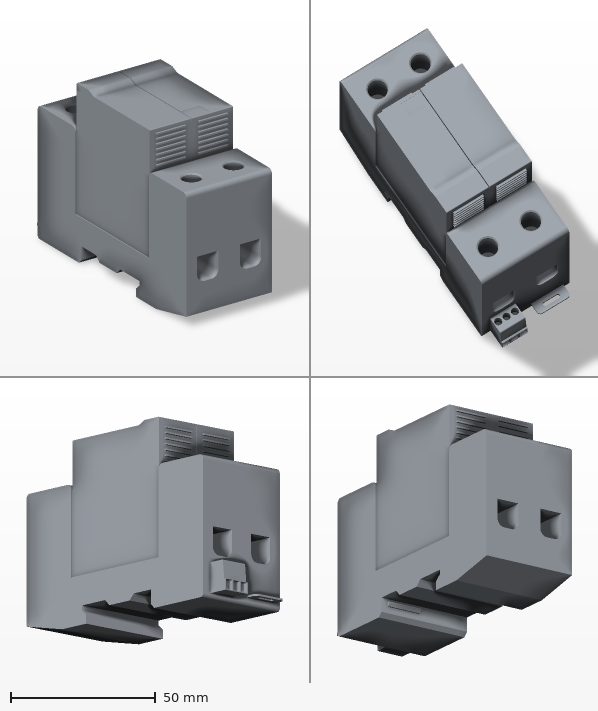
import cadquery as cq

HOUSING_LENGTH = 90.2
HOUSING_WIDTH = 36.0
HOUSING_HEIGHT = 50.6
TOP_RADIUS = 1.8
FOOT_RADIUS = 1.2
POLE_OFFSET = 8.85
POLE_SIDES = (-1, 1)

RAIL_LEFT = 26.6
RAIL_RIGHT = 61.9
RAIL_ROOF = 6.8
FOOT_CHAMFER = 1.6
RIB_LEFT = 35.4
RIB_RIGHT = 50.0
RIB_SLOPE = 2.1
RIB_BOTTOM = 4.65
HOOK_TIP = 59.7
HOOK_TIP_TOP = 3.3
HOOK_ROOT = 5.2
RAMP_START = 71.9
RAMP_END_HEIGHT = 3.9

SLOT_LEFT = 22.7
SLOT_RIGHT = 67.5
SLOT_FLOOR = 17.6
MODULE_CLEARANCE = 0.3
MODULE_LEFT = SLOT_LEFT + MODULE_CLEARANCE
MODULE_RIGHT = SLOT_RIGHT - MODULE_CLEARANCE
MODULE_WIDTH = 17.4
MODULE_TOP = 67.4
MODULE_LOW_TOP = 66.0
STEP_START = 30.4
STEP_END = 33.35
STEP_RADIUS = 1.3
MODULE_EDGE_RADIUS = 0.3

WINDOW_LEFT = 60.55
WINDOW_LENGTH = 5.5
WINDOW_WIDTH = 8.2
WINDOW_DEPTH = 0.1

LOUVRE_COUNT = 7
LOUVRE_PITCH = 2.0
LOUVRE_LOWEST = 52.1
LOUVRE_THICKNESS = 0.6
LOUVRE_LENGTH = 12.2
LOUVRE_PROJECTION = 0.9

SCREW_INSET = 10.15
SCREW_DIAMETER = 7.0
SCREW_DEPTH = 14.0
SCREW_RIM_CHAMFER = 0.5
WIRE_OFFSET = 9.0
WIRE_WIDTH = 8.9
WIRE_BOTTOM = 15.6
WIRE_TOP = 25.55
WIRE_RADIUS = 2.9
WIRE_DEPTH = 15.0

CONNECTOR_REACH = 7.75
CONNECTOR_STEP = 7.0
CONNECTOR_TOP_REACH = 6.35
CONNECTOR_BOTTOM = 1.7
CONNECTOR_LIP = 5.8
CONNECTOR_TOP = 12.65
CONNECTOR_EDGE_RADIUS = 0.4
CONNECTOR_WIDTH = 10.4
CONNECTOR_Y = 9.4
CONTACT_COUNT = 3
CONTACT_PITCH = 3.45
CONTACT_HOLE_X = -2.45
CONTACT_HOLE_DIAMETER = 2.8
CONTACT_HOLE_DEPTH = 4.0
CONTACT_WINDOW_WIDTH = 2.95
CONTACT_WINDOW_BOTTOM = 2.0
CONTACT_WINDOW_TOP = 5.6
CONTACT_WINDOW_DEPTH = 1.7

LATCH_Y = -8.9
LATCH_WIDTH = 13.3
TAB_REACH = 5.0
TAB_BOTTOM = 2.6
TAB_THICKNESS = 0.7
TAB_RADIUS = 1.5
TAB_SLOT_X = -2.7
TAB_SLOT_LENGTH = 6.8
TAB_SLOT_WIDTH = 1.6
TAB_SLOT_RADIUS = 0.7
PAWL_TOP = 5.6
PAWL_BOTTOM = 4.0
PAWL_TIP_HEIGHT = 5.2
PAWL_REACH = 1.45
PAWL_FLAT = 1.1
PAWL_FOOT = 0.6

OVERLAP = 1.0


def box(x_min, x_max, y_min, y_max, z_min, z_max):
    """Axis-aligned box given by its limits."""
    size = (x_max - x_min, y_max - y_min, z_max - z_min)
    return cq.Workplane("XY").box(*size, centered=False).translate((x_min, y_min, z_min))


def extrude_profile(points, width, y_center):
    """Close an XZ outline and extrude it along Y, centred on y_center."""
    plane = cq.Workplane("XZ", origin=(0, y_center, 0))
    return plane.polyline(points).close().extrude(width / 2, both=True)


def make_housing():
    outline = [
        (0, 0),
        (RAIL_LEFT - FOOT_CHAMFER, 0),
        (RAIL_LEFT, FOOT_CHAMFER),
        (RAIL_LEFT, RAIL_ROOF),
        (RIB_LEFT, RAIL_ROOF),
        (RIB_LEFT + RIB_SLOPE, RIB_BOTTOM),
        (RIB_RIGHT - RIB_SLOPE, RIB_BOTTOM),
        (RIB_RIGHT, RAIL_ROOF),
        (RAIL_RIGHT, RAIL_ROOF),
        (RAIL_RIGHT, HOOK_ROOT),
        (HOOK_TIP, HOOK_TIP_TOP),
        (HOOK_TIP, 0),
        (RAMP_START, 0),
        (HOUSING_LENGTH, RAMP_END_HEIGHT),
        (HOUSING_LENGTH, HOUSING_HEIGHT),
        (SLOT_RIGHT, HOUSING_HEIGHT),
        (SLOT_RIGHT, SLOT_FLOOR),
        (SLOT_LEFT, SLOT_FLOOR),
        (SLOT_LEFT, HOUSING_HEIGHT),
        (0, HOUSING_HEIGHT),
    ]
    housing = extrude_profile(outline, HOUSING_WIDTH, 0)
    housing = housing.faces(">Z").edges("|Y").fillet(TOP_RADIUS)
    return housing.faces("<X").edges("|Y and <Z").fillet(FOOT_RADIUS)


def make_module(side):
    outline = [
        (MODULE_LEFT, SLOT_FLOOR),
        (MODULE_RIGHT, SLOT_FLOOR),
        (MODULE_RIGHT, MODULE_LOW_TOP),
        (STEP_END, MODULE_LOW_TOP),
        (STEP_START, MODULE_TOP),
        (MODULE_LEFT, MODULE_TOP),
    ]
    module = extrude_profile(outline, MODULE_WIDTH, side * POLE_OFFSET)
    for x, z in ((STEP_START, MODULE_TOP), (STEP_END, MODULE_LOW_TOP)):
        corner = cq.selectors.NearestToPointSelector((x, side * POLE_OFFSET, z))
        module = module.edges(corner).fillet(STEP_RADIUS)
    for end, x, z in (("<X", MODULE_LEFT, MODULE_TOP), (">X", MODULE_RIGHT, MODULE_LOW_TOP)):
        top_edge = cq.selectors.NearestToPointSelector((x, side * POLE_OFFSET, z))
        module = module.faces(end).edges(top_edge).fillet(MODULE_EDGE_RADIUS)
    return module


def make_louvres(side):
    """Flat ribs that stand out from both ends of one module."""
    y_min = side * POLE_OFFSET - LOUVRE_LENGTH / 2
    y_max = y_min + LOUVRE_LENGTH
    x_min = MODULE_LEFT - LOUVRE_PROJECTION
    x_max = MODULE_RIGHT + LOUVRE_PROJECTION
    z_min = LOUVRE_LOWEST - LOUVRE_THICKNESS / 2
    bar = box(x_min, x_max, y_min, y_max, z_min, z_min + LOUVRE_THICKNESS)
    return [bar.translate((0, 0, row * LOUVRE_PITCH)) for row in range(LOUVRE_COUNT)]


def make_slot_lining():
    """Fill the clearance around the modules up to the start of the housing's top rounding."""
    half = POLE_OFFSET + MODULE_WIDTH / 2
    return box(SLOT_LEFT, SLOT_RIGHT, -half, half, SLOT_FLOOR, HOUSING_HEIGHT - TOP_RADIUS)


def make_window_recess():
    y_min = POLE_OFFSET - MODULE_WIDTH / 2
    x_max = WINDOW_LEFT + WINDOW_LENGTH
    z_min = MODULE_LOW_TOP - WINDOW_DEPTH
    return box(WINDOW_LEFT, x_max, y_min, y_min + WINDOW_WIDTH, z_min, MODULE_LOW_TOP)


def make_screw_hole(x, y):
    top = cq.Workplane("XY", origin=(x, y, HOUSING_HEIGHT))
    shaft = top.circle(SCREW_DIAMETER / 2).extrude(-SCREW_DEPTH)
    rim = top.circle(SCREW_DIAMETER / 2 + SCREW_RIM_CHAMFER).extrude(-SCREW_RIM_CHAMFER, taper=45)
    return shaft.union(rim)


def make_wire_entry(x_min, y):
    half = WIRE_WIDTH / 2
    entry = box(x_min, x_min + WIRE_DEPTH, y - half, y + half, WIRE_BOTTOM, WIRE_TOP)
    return entry.faces("<Z").edges("|X").fillet(WIRE_RADIUS)


def make_connector():
    outline = [
        (OVERLAP, CONNECTOR_BOTTOM),
        (-CONNECTOR_REACH, CONNECTOR_BOTTOM),
        (-CONNECTOR_REACH, CONNECTOR_LIP),
        (-CONNECTOR_STEP, CONNECTOR_LIP),
        (-CONNECTOR_TOP_REACH, CONNECTOR_TOP),
        (OVERLAP, CONNECTOR_TOP),
    ]
    connector = extrude_profile(outline, CONNECTOR_WIDTH, CONNECTOR_Y)
    top_edge = cq.selectors.NearestToPointSelector((-CONNECTOR_TOP_REACH, CONNECTOR_Y, CONNECTOR_TOP))
    connector = connector.edges(top_edge).fillet(CONNECTOR_EDGE_RADIUS)
    for index in range(CONTACT_COUNT):
        y = CONNECTOR_Y + (index - (CONTACT_COUNT - 1) / 2) * CONTACT_PITCH
        top = cq.Workplane("XY", origin=(CONTACT_HOLE_X, y, CONNECTOR_TOP))
        connector = connector.cut(top.circle(CONTACT_HOLE_DIAMETER / 2).extrude(-CONTACT_HOLE_DEPTH))
        half = CONTACT_WINDOW_WIDTH / 2
        x_max = -CONNECTOR_REACH + CONTACT_WINDOW_DEPTH
        window = box(-CONNECTOR_REACH, x_max, y - half, y + half, CONTACT_WINDOW_BOTTOM, CONTACT_WINDOW_TOP)
        connector = connector.cut(window)
    return connector


def make_pull_tab():
    y_min = LATCH_Y - LATCH_WIDTH / 2
    y_max = y_min + LATCH_WIDTH
    z_max = TAB_BOTTOM + TAB_THICKNESS
    tab = box(-TAB_REACH, OVERLAP, y_min, y_max, TAB_BOTTOM, z_max)
    tab = tab.edges("|Z").edges("<X").fillet(TAB_RADIUS)
    slot = box(
        TAB_SLOT_X - TAB_SLOT_WIDTH / 2,
        TAB_SLOT_X + TAB_SLOT_WIDTH / 2,
        LATCH_Y - TAB_SLOT_LENGTH / 2,
        LATCH_Y + TAB_SLOT_LENGTH / 2,
        TAB_BOTTOM,
        z_max,
    )
    return tab.cut(slot.edges("|Z").fillet(TAB_SLOT_RADIUS))


def make_pawl():
    outline = [
        (RAIL_LEFT - OVERLAP, PAWL_BOTTOM),
        (RAIL_LEFT + PAWL_FOOT, PAWL_BOTTOM),
        (RAIL_LEFT + PAWL_REACH, PAWL_TIP_HEIGHT),
        (RAIL_LEFT + PAWL_FLAT, PAWL_TOP),
        (RAIL_LEFT - OVERLAP, PAWL_TOP),
    ]
    return extrude_profile(outline, LATCH_WIDTH, LATCH_Y)


part = make_housing().union(make_slot_lining())
for side in POLE_SIDES:
    pole_y = side * POLE_OFFSET
    part = part.union(make_module(side))
    for louvre in make_louvres(side):
        part = part.union(louvre)
    for screw_x in (SCREW_INSET, HOUSING_LENGTH - SCREW_INSET):
        part = part.cut(make_screw_hole(screw_x, pole_y))
    for entry_x in (0, HOUSING_LENGTH - WIRE_DEPTH):
        part = part.cut(make_wire_entry(entry_x, side * WIRE_OFFSET))
part = part.cut(make_window_recess())
part = part.union(make_connector()).union(make_pull_tab()).union(make_pawl())

result = part